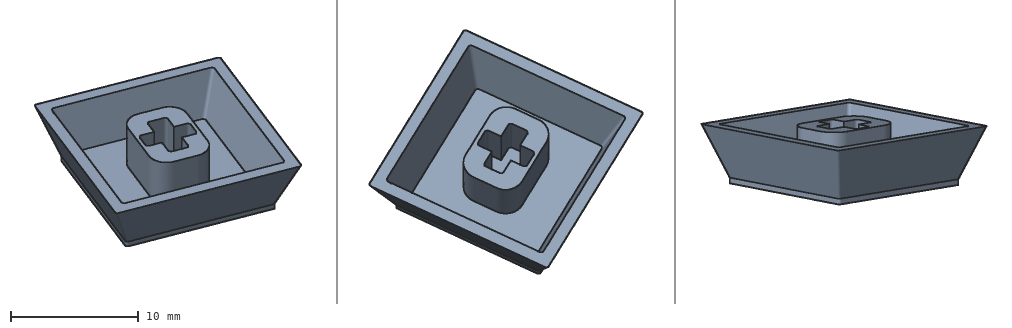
import cadquery as cq

rim_width = 15.92
rim_depth = 15.9
foot_side = 12.8
total_height = 4.76
stem_rise = 0.06
foot_height = 0.46
outer_corner = 0.2
rim_height = total_height - stem_rise

rim_wall = 1.0
floor_side = 11.22
floor_height = 1.0
cavity_corner = 0.25

stem_length = 6.97
stem_width = 5.03
stem_corner = 1.5
cross_span = 4.36
cross_arm_x = 1.7
cross_arm_y = 1.55
cross_corner = 0.25


def rounded_rectangle(length, width, radius):
    return cq.Sketch().rect(length, width).vertices().fillet(radius)


def block(length, width, radius, bottom, top):
    outline = rounded_rectangle(length, width, radius)
    return cq.Workplane("XY", origin=(0, 0, bottom)).placeSketch(outline).extrude(top - bottom)


def flared_block(lower, upper, bottom, top):
    """Loft between two rounded-rectangle outlines."""
    upper = upper.moved(cq.Location(cq.Vector(0, 0, top - bottom)))
    return cq.Workplane("XY", origin=(0, 0, bottom)).placeSketch(lower, upper).loft()


foot = block(foot_side, foot_side, outer_corner, 0, foot_height)
flare = flared_block(
    rounded_rectangle(foot_side, foot_side, outer_corner),
    rounded_rectangle(rim_width, rim_depth, outer_corner),
    foot_height,
    rim_height,
)

cavity = flared_block(
    rounded_rectangle(floor_side, floor_side, cavity_corner),
    rounded_rectangle(rim_width - 2 * rim_wall, rim_depth - 2 * rim_wall, cavity_corner),
    floor_height,
    rim_height,
)

stem = block(stem_length, stem_width, stem_corner, floor_height, total_height)
arm_along_x = block(cross_span, cross_arm_x, cross_corner, floor_height, total_height)
arm_along_y = block(cross_arm_y, cross_span, cross_corner, floor_height, total_height)
socket = arm_along_x.union(arm_along_y)

result = foot.union(flare).cut(cavity).union(stem).cut(socket)